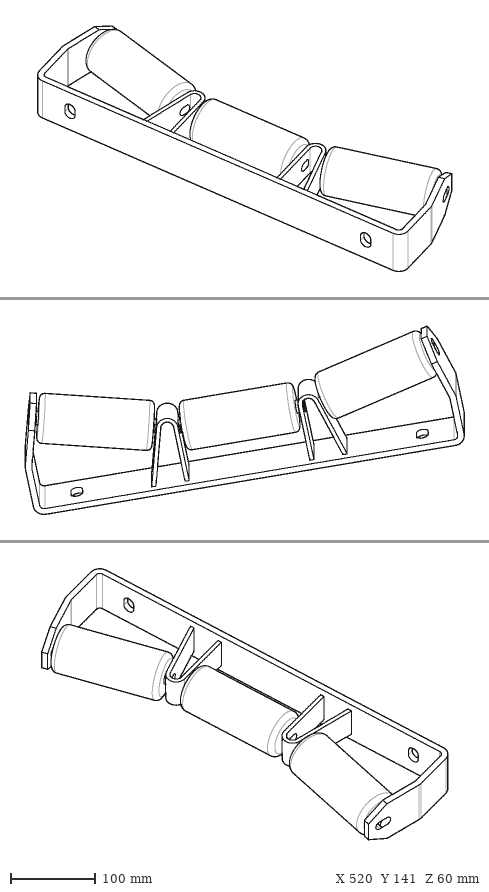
import cadquery as cq
import math

frame_length = 520.0
strip_width = 60.0
strip_thickness = 8.0
overall_depth = 141.0
half_length = frame_length / 2
half_width = strip_width / 2

bend_outer_radius = 13.0
bend_inner_radius = bend_outer_radius - strip_thickness
lean_angle = 15.0
arm_bend_y = 63.0
arm_bend_x = -half_length + bend_outer_radius
arm_tip_width = 27.0
arm_taper_length = 28.0

mount_slot_x = 208.5
mount_slot_width = 14.0
mount_slot_height = 22.0

bracket_thickness = 5.0
bracket_width = 40.0
bracket_face_x = 73.0
bracket_outer_radius = 12.5
bracket_inner_radius = bracket_outer_radius - bracket_thickness
bracket_bend_x = -bracket_face_x - bracket_outer_radius
bracket_bend_y = 81.5

roller_radius = half_width
roller_length = 137.0
roller_edge_radius = 6.0
shaft_radius = 8.0
shaft_flat_width = 12.0
flat_clearance = 1.5
middle_roller_y = 70.5
side_roller_y = 95.0
arm_slot_length = 22.5

lean_cos = math.cos(math.radians(lean_angle))
lean_sin = math.sin(math.radians(lean_angle))
axis_dir = (lean_cos, -lean_sin)
arm_dir = (lean_sin, lean_cos)


def along(start, direction, distance):
    return (start[0] + distance * direction[0], start[1] + distance * direction[1])


def point_on_circle(center, radius, angle):
    turn = math.radians(angle)
    return (center[0] + radius * math.cos(turn), center[1] + radius * math.sin(turn))


def distance_on_axis(point):
    return point[0] * axis_dir[0] + point[1] * axis_dir[1]


arm_bend = (arm_bend_x, arm_bend_y)
bracket_bend = (bracket_bend_x, bracket_bend_y)
arm_inner_face = distance_on_axis(arm_bend) - bend_inner_radius
bracket_outer_face = distance_on_axis(bracket_bend) - bracket_outer_radius
side_face_span = bracket_outer_face - arm_inner_face
side_roller_axis_distance = (arm_inner_face + bracket_outer_face) / 2
side_roller_x = (side_roller_axis_distance - side_roller_y * axis_dir[1]) / axis_dir[0]


def place_left(body):
    """Move a body from the roller's own frame, with its axis on X, to the left roller."""
    leaned = body.rotate((0, 0, 0), (0, 0, 1), -lean_angle)
    return leaned.translate((side_roller_x, side_roller_y, 0))


def extrude_strip(outline, width):
    return outline.close().extrude(width / 2, both=True)


def shaft_end(start, end):
    """Flatted shaft end along X: a rounded foot on the -Y side and the shaft's own curve on the +Y side."""
    half_flat = shaft_flat_width / 2
    half_chord = math.sqrt(shaft_radius**2 - half_flat**2)
    foot_y = half_flat - shaft_radius
    return (
        cq.Workplane("YZ", origin=(start, 0, 0))
        .moveTo(foot_y, -half_flat)
        .lineTo(half_chord, -half_flat)
        .threePointArc((shaft_radius, 0), (half_chord, half_flat))
        .lineTo(foot_y, half_flat)
        .threePointArc((-shaft_radius, 0), (foot_y, -half_flat))
        .close()
        .extrude(end - start)
    )


def arm_slot():
    """Slot through the left arm in the roller's own frame, with the shaft resting at its -Y end."""
    slot_center_y = arm_slot_length / 2 - shaft_radius
    return (
        cq.Workplane("YZ", origin=(-side_face_span / 2, 0, 0))
        .center(slot_center_y, 0)
        .slot2D(arm_slot_length, shaft_flat_width)
        .extrude(-strip_thickness)
    )


def make_roller(face_span, left_plate, right_plate):
    """Barrel and shaft on the X axis; the shaft flats pass through the plates on both sides."""
    half_roller = roller_length / 2
    half_span = face_span / 2
    barrel = (
        cq.Workplane("XY")
        .moveTo(-half_roller, 0)
        .lineTo(-half_roller, -roller_radius)
        .lineTo(half_roller, -roller_radius)
        .lineTo(half_roller, 0)
        .close()
        .revolve(360, (0, 0, 0), (1, 0, 0))
        .faces("<X or >X")
        .edges()
        .fillet(roller_edge_radius)
    )
    round_half = half_span - flat_clearance
    round_shaft = cq.Workplane("YZ").circle(shaft_radius).extrude(round_half, both=True)
    flatted_shaft = shaft_end(-half_span - left_plate, half_span + right_plate)
    return barrel.union(round_shaft).union(flatted_shaft)


def frame_left_half():
    corner = (arm_bend_x, bend_outer_radius)
    mid_corner_angle = 225
    mid_lean_angle = 180 - lean_angle / 2
    end_lean_angle = 180 - lean_angle
    outer_arm_start = point_on_circle(arm_bend, bend_outer_radius, end_lean_angle)
    inner_arm_start = point_on_circle(arm_bend, bend_inner_radius, end_lean_angle)
    arm_length = (overall_depth - outer_arm_start[1]) / lean_cos
    inner_x = -half_length + strip_thickness
    half = extrude_strip(
        cq.Workplane("XY")
        .moveTo(0, 0)
        .lineTo(corner[0], 0)
        .threePointArc(
            point_on_circle(corner, bend_outer_radius, mid_corner_angle), (-half_length, corner[1])
        )
        .lineTo(-half_length, arm_bend_y)
        .threePointArc(point_on_circle(arm_bend, bend_outer_radius, mid_lean_angle), outer_arm_start)
        .lineTo(*along(outer_arm_start, arm_dir, arm_length))
        .lineTo(*along(inner_arm_start, arm_dir, arm_length))
        .lineTo(*inner_arm_start)
        .threePointArc(point_on_circle(arm_bend, bend_inner_radius, mid_lean_angle), (inner_x, arm_bend_y))
        .lineTo(inner_x, corner[1])
        .threePointArc(
            point_on_circle(corner, bend_inner_radius, mid_corner_angle), (corner[0], strip_thickness)
        )
        .lineTo(0, strip_thickness),
        strip_width,
    )

    tip = along(outer_arm_start, arm_dir, arm_length)
    tip_plane = cq.Plane(origin=(*tip, 0), xDir=(*arm_dir, 0), normal=(*axis_dir, 0))
    for side in (-1, 1):
        corner_cut = (
            cq.Workplane(tip_plane)
            .moveTo(0, side * arm_tip_width / 2)
            .lineTo(0, side * half_width)
            .lineTo(-arm_taper_length, side * half_width)
            .close()
            .extrude(strip_thickness)
        )
        half = half.cut(corner_cut)

    return half.cut(place_left(arm_slot()))


def make_frame():
    left = frame_left_half()
    frame = left.union(left.mirror("YZ")).clean()
    mount_slots = (
        cq.Workplane("XZ")
        .pushPoints([(-mount_slot_x, 0), (mount_slot_x, 0)])
        .slot2D(mount_slot_height, mount_slot_width, 90)
        .extrude(-strip_thickness)
    )
    return frame.cut(mount_slots)


def make_left_bracket():
    mid_angle = (180 - lean_angle) / 2
    end_angle = 180 - lean_angle
    foot_y = strip_thickness
    outer_end = point_on_circle(bracket_bend, bracket_outer_radius, end_angle)
    inner_end = point_on_circle(bracket_bend, bracket_inner_radius, end_angle)
    outer_foot = along(outer_end, arm_dir, (foot_y - outer_end[1]) / lean_cos)
    inner_foot = along(inner_end, arm_dir, (foot_y - inner_end[1]) / lean_cos)
    inner_face_x = -bracket_face_x - bracket_thickness
    bracket = extrude_strip(
        cq.Workplane("XY")
        .moveTo(-bracket_face_x, foot_y)
        .lineTo(-bracket_face_x, bracket_bend_y)
        .threePointArc(point_on_circle(bracket_bend, bracket_outer_radius, mid_angle), outer_end)
        .lineTo(*outer_foot)
        .lineTo(*inner_foot)
        .lineTo(*inner_end)
        .threePointArc(
            point_on_circle(bracket_bend, bracket_inner_radius, mid_angle), (inner_face_x, bracket_bend_y)
        )
        .lineTo(inner_face_x, foot_y),
        bracket_width,
    )

    middle_hole = shaft_end(inner_face_x, -bracket_face_x).translate((0, middle_roller_y, 0))
    side_hole = place_left(shaft_end(side_face_span / 2, side_face_span / 2 + bracket_thickness))
    return bracket.cut(middle_hole).cut(side_hole)


frame = make_frame()
left_bracket = make_left_bracket()
brackets = [left_bracket, left_bracket.mirror("YZ")]
middle_roller = make_roller(2 * bracket_face_x, bracket_thickness, bracket_thickness).translate(
    (0, middle_roller_y, 0)
)
left_roller = place_left(make_roller(side_face_span, strip_thickness, bracket_thickness))
rollers = [left_roller, middle_roller, left_roller.mirror("YZ")]

result = cq.Compound.makeCompound([body.val() for body in [frame, *brackets, *rollers]])